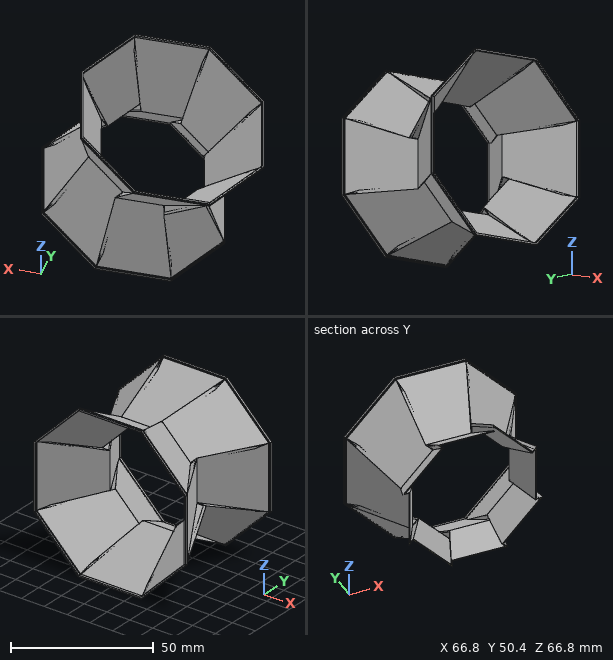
import cadquery as cq
import math

SIDES = 8
RIM_APOTHEM = 33.4
DEPTH = 50.4
RIM_DEPTH = 1.1
RIM_WALL = 0.7
SHELL_RIM_APOTHEM = 33.1
WAIST_APOTHEM = 19.4
WAIST_WALL = 0.7
PLEAT_START = 4.0
PLEAT_WALL = 0.35
PLEAT_RUNOUT = 4.7

HALF_ANGLE = math.pi / SIDES
SIDE_ANGLE = 2 * HALF_ANGLE
FUNNEL_DEPTH = DEPTH / 2 - RIM_DEPTH
TIP_OFFSET = SHELL_RIM_APOTHEM * math.tan(HALF_ANGLE)
HOLLOW_RIM_APOTHEM = RIM_APOTHEM - RIM_WALL
HOLLOW_WAIST_APOTHEM = WAIST_APOTHEM - WAIST_WALL
HOLLOW_TIP_OFFSET = TIP_OFFSET - WAIST_WALL - PLEAT_WALL * math.sqrt(2)


def octagon(apothem, y):
    """Octagon corners in the plane at y, with flats facing X and Z."""
    radius = apothem / math.cos(HALF_ANGLE)
    angles = [HALF_ANGLE + index * SIDE_ANGLE for index in range(SIDES)]
    return [cq.Vector(radius * math.cos(a), y, radius * math.sin(a)) for a in angles]


def flat_faced_solid(outlines):
    """Solid bounded by flat faces, each given as a list of corners."""
    faces = [cq.Face.makeFromWires(cq.Wire.makePolygon(points, close=True)) for points in outlines]
    return cq.Workplane(cq.Solid.makeSolid(cq.Shell.makeShell(faces)))


def frustum(start_apothem, end_apothem, y_start, y_end):
    start = octagon(start_apothem, y_start)
    end = octagon(end_apothem, y_end)
    outlines = [start, end]
    for index in range(SIDES):
        following = (index + 1) % SIDES
        outlines.append([start[index], start[following], end[following], end[index]])
    return flat_faced_solid(outlines)


def tetrahedron(points):
    return flat_faced_solid([points[:skip] + points[skip + 1:] for skip in range(len(points))])


def pleat(waist_apothem, rim_apothem, start, tip_offset, apex_y):
    """Pleat at the corner between the +Z flat and its neighbour towards +X."""
    apex_apothem = waist_apothem + (rim_apothem - waist_apothem) * apex_y / FUNNEL_DEPTH
    corner_slope = math.tan(HALF_ANGLE)
    tip_x = waist_apothem * math.sin(SIDE_ANGLE) - tip_offset * math.cos(SIDE_ANGLE)
    tip_z = waist_apothem * math.cos(SIDE_ANGLE) + tip_offset * math.sin(SIDE_ANGLE)
    return tetrahedron([
        cq.Vector(start, 0, waist_apothem),
        cq.Vector(tip_x, 0, tip_z),
        cq.Vector(waist_apothem * corner_slope, 0, waist_apothem),
        cq.Vector(apex_apothem * corner_slope, apex_y, apex_apothem),
    ])


def pleated_funnel(waist_apothem, rim_apothem, start, tip_offset, apex_y):
    """Solid octagonal funnel from the middle plane to the rim, with its pleats."""
    body = frustum(waist_apothem, rim_apothem, 0, FUNNEL_DEPTH)
    corner = pleat(waist_apothem, rim_apothem, start, tip_offset, apex_y)
    for index in range(SIDES):
        body = body.union(corner.rotate((0, 0, 0), (0, 1, 0), index * 360 / SIDES))
    return body.clean()


outside = pleated_funnel(WAIST_APOTHEM, SHELL_RIM_APOTHEM, PLEAT_START, TIP_OFFSET, FUNNEL_DEPTH)
hollow = pleated_funnel(
    HOLLOW_WAIST_APOTHEM,
    HOLLOW_RIM_APOTHEM,
    PLEAT_START + PLEAT_WALL,
    HOLLOW_TIP_OFFSET,
    FUNNEL_DEPTH - PLEAT_RUNOUT,
)
rim = frustum(RIM_APOTHEM, RIM_APOTHEM, FUNNEL_DEPTH, DEPTH / 2)
rim_opening = frustum(HOLLOW_RIM_APOTHEM, HOLLOW_RIM_APOTHEM, FUNNEL_DEPTH, DEPTH / 2)

half = outside.cut(hollow).union(rim.cut(rim_opening))
result = half.union(half.mirror("XZ")).clean()